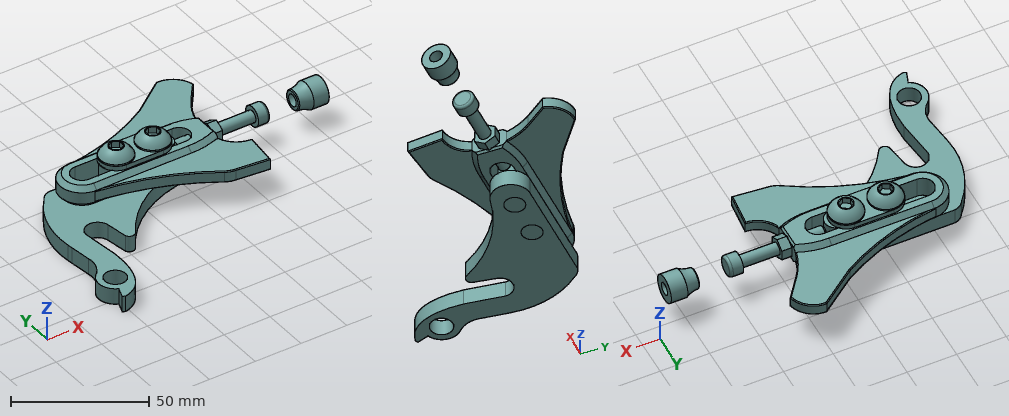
import cadquery as cq
import math


plate_thickness = 5.0
plate_edge_chamfer = 0.4
boss_thickness = 9.0
boss_radius = 9.5
boss_chamfer = (boss_thickness - plate_thickness) / 2
boss_straight_end = 41.4
boss_end = 54.7
boss_end_half_width = 6.8
boss_end_chamfer = 0.8
slot_radius = 4.6
slot_end = 47.0
boss_top = boss_thickness / 2
boss_bottom = -boss_top

hanger_thickness = 6.9
hanger_bottom = boss_bottom - hanger_thickness
hanger_tip_radius = 7.6
hanger_tip_x = 34.6
hanger_tip_angle = math.radians(14)
eye_x = -19.2
eye_y = -50.0
eye_radius = 7.2
eye_hole_diameter = 8.9
notch_x = -8.1
notch_y = -22.2
notch_radius = 5.0

bolt_spacing = 16.0
first_bolt_x = 14.9
bolt_positions = [first_bolt_x, first_bolt_x + bolt_spacing]
block_head_radius = 6.9
block_head_thickness = 2.0
block_top = boss_top + block_head_thickness
tongue_start = 8.2
tongue_end = 39.6
shank_diameter = 8.0
head_diameter = 13.7
head_rim = 0.7
head_height = 4.3
socket_width = 5.0
socket_depth = 2.6
head_flat_radius = 3.0

screw_diameter = 5.0
screw_tip_chamfer = 0.8
screw_head_diameter = 8.5
screw_head_start = 74.3
screw_head_end = 79.5
screw_head_fillet = 1.0
nut_width = 8.0
nut_thickness = 4.0

cap_start = 92.0
cap_end = 104.2
cap_nose_chamfer = 0.4
cap_flare_end = 97.5
cap_nose_diameter = 8.4
cap_diameter = 11.4
cap_bore_diameter = 5.0


def slab(outline, bottom, thickness):
    """Extrude a closed XY outline upwards from the height `bottom`."""
    return outline.extrude(thickness).translate((0, 0, bottom))


def stadium(start, end, radius, bottom, thickness):
    """A round-ended bar on the X axis whose extreme points are at `start` and `end`."""
    outline = cq.Workplane("XY").center((start + end) / 2, 0).slot2D(end - start, 2 * radius)
    return slab(outline, bottom, thickness)


def upright_cylinder(x, y, diameter, bottom, height):
    return cq.Workplane("XY", origin=(x, y, bottom)).circle(diameter / 2).extrude(height)


def axial_rod(start, end, diameter):
    """A cylinder lying along the X axis."""
    return cq.Workplane("YZ", origin=(start, 0, 0)).circle(diameter / 2).extrude(end - start)


def hexagonal_bar(start, end, width):
    """A hexagonal bar along the X axis, with corners at its top and bottom."""
    profile = cq.Workplane("YZ", origin=(start, 0, 0)).polygon(6, across_corners(width))
    return profile.extrude(end - start).rotate((0, 0, 0), (1, 0, 0), 90)


def across_corners(width):
    """The width across corners of a hexagon from its width across flats."""
    return width / math.cos(math.pi / 6)


def make_fork_plate():
    outline = (
        cq.Workplane("XY")
        .moveTo(-0.8, -boss_radius)
        .threePointArc((22.7, -14.9), (44.9, -25.7))
        .threePointArc((46.9, -26.6), (49.1, -27.0))
        .lineTo(63.2, -28.5)
        .lineTo(64.6, -14.2)
        .threePointArc((57.9, -11.6), (boss_end, -boss_end_half_width))
        .lineTo(boss_end, boss_end_half_width)
        .threePointArc((56.7, 12.3), (59.8, 17.5))
        .lineTo(66.2, 25.9)
        .threePointArc((62.7, 31.9), (55.6, 34.3))
        .lineTo(40.9, 23.4)
        .threePointArc((20.9, 14.2), (-0.8, boss_radius))
        .close()
    )
    plate = slab(outline, -plate_thickness / 2, plate_thickness)
    return plate.faces("|Z").edges().chamfer(plate_edge_chamfer)


def make_boss():
    outline = (
        cq.Workplane("XY")
        .moveTo(0, -boss_radius)
        .lineTo(boss_straight_end, -boss_radius)
        .threePointArc((48.3, -8.9), (boss_end, -boss_end_half_width))
        .lineTo(boss_end, boss_end_half_width)
        .threePointArc((48.3, 8.9), (boss_straight_end, boss_radius))
        .lineTo(0, boss_radius)
        .threePointArc((-boss_radius, 0), (0, -boss_radius))
        .close()
    )
    boss = slab(outline, boss_bottom, boss_thickness)
    boss = boss.faces("|Z").edges("not(>X)").chamfer(boss_chamfer)
    return boss.faces(">X").edges("|Y").chamfer(boss_end_chamfer)


def make_slider():
    slot = stadium(-slot_radius, slot_end, slot_radius, boss_bottom, boss_thickness)
    screw_hole = axial_rod(slot_end - slot_radius, boss_end, screw_diameter)
    return make_fork_plate().union(make_boss()).cut(slot).cut(screw_hole)


def make_hanger():
    tip_end = (
        hanger_tip_x + hanger_tip_radius * math.sin(hanger_tip_angle),
        -hanger_tip_radius * math.cos(hanger_tip_angle),
    )
    outline = (
        cq.Workplane("XY")
        .moveTo(hanger_tip_x, hanger_tip_radius)
        .threePointArc((hanger_tip_x + hanger_tip_radius, 0), tip_end)
        .threePointArc((18.2, -14.8), (2.4, -31.2))
        .threePointArc((0.4, -32.1), (-1.7, -30.5))
        .lineTo(notch_x + notch_radius, notch_y + 0.7)
        .threePointArc((notch_x, notch_y + notch_radius), (notch_x - notch_radius, notch_y))
        .lineTo(-11.1, -37.9)
        .spline([(-12.0, -50.1), (-15.4, -57.5), (-22.6, -61.8)], includeCurrent=True)
        .lineTo(-23.8, -61.2)
        .lineTo(-22.1, -56.5)
        .threePointArc((eye_x - eye_radius, eye_y), (-23.9, -44.5))
        .threePointArc((-21.0, -40.0), (-20.8, -35.1))
        .lineTo(-22.0, -26.1)
        .lineTo(-22.2, -23.8)
        .threePointArc((-20.1, -6.5), (-13.3, 4.8))
        .threePointArc((-11.6, 6.7), (-9.3, hanger_tip_radius))
        .close()
    )
    hanger = slab(outline, hanger_bottom, hanger_thickness)
    hanger = hanger.cut(upright_cylinder(eye_x, eye_y, eye_hole_diameter, hanger_bottom, hanger_thickness))
    for x in bolt_positions:
        hanger = hanger.cut(upright_cylinder(x, 0, shank_diameter, hanger_bottom, hanger_thickness))
    return hanger


def make_clamp_block():
    head = stadium(
        bolt_positions[0] - block_head_radius,
        bolt_positions[1] + block_head_radius,
        block_head_radius,
        boss_top,
        block_head_thickness,
    )
    tongue = stadium(tongue_start, tongue_end, slot_radius, boss_bottom, boss_thickness)
    block = head.union(tongue)
    for x in bolt_positions:
        block = block.cut(upright_cylinder(x, 0, shank_diameter, boss_bottom, block_top - boss_bottom))
    return block


def make_bolt(x):
    """A domed bolt: its shank ends flush with the hanger's underside."""
    rim_radius = head_diameter / 2
    dome_height = head_height - head_rim
    centre_drop = (rim_radius**2 - head_flat_radius**2 - dome_height**2) / (2 * dome_height)
    dome_radius = math.hypot(rim_radius, centre_drop)
    mid_radius = (rim_radius + head_flat_radius) / 2
    mid_height = head_rim - centre_drop + math.sqrt(dome_radius**2 - mid_radius**2)
    shank_length = block_top - hanger_bottom
    bolt = (
        cq.Workplane("XZ")
        .moveTo(0, -shank_length)
        .lineTo(shank_diameter / 2, -shank_length)
        .lineTo(shank_diameter / 2, 0)
        .lineTo(rim_radius, 0)
        .lineTo(rim_radius, head_rim)
        .threePointArc((mid_radius, mid_height), (head_flat_radius, head_height))
        .lineTo(0, head_height)
        .close()
        .revolve(360, (0, 0), (0, 1))
    )
    socket = cq.Workplane("XY", origin=(0, 0, head_height)).polygon(6, across_corners(socket_width))
    socket = socket.extrude(-socket_depth).rotate((0, 0, 0), (0, 0, 1), 90)
    return bolt.cut(socket).translate((x, 0, block_top))


def make_screw():
    shank = axial_rod(tongue_end, screw_head_start, screw_diameter).faces("<X").chamfer(screw_tip_chamfer)
    head = axial_rod(screw_head_start, screw_head_end, screw_head_diameter)
    return shank.union(head.faces(">X").edges().fillet(screw_head_fillet))


def make_nut():
    nut_end = boss_end + nut_thickness
    return hexagonal_bar(boss_end, nut_end, nut_width).cut(axial_rod(boss_end, nut_end, screw_diameter))


def make_cap():
    """A turned cap whose nose flares along an arc, with a bore right through it."""
    nose_radius = cap_nose_diameter / 2
    cap_radius = cap_diameter / 2
    flare_start = cap_start + cap_nose_chamfer
    flare_middle = (
        (flare_start + cap_flare_end) / 2,
        nose_radius + (cap_radius - nose_radius) / 4,
    )
    cap = (
        cq.Workplane("XY")
        .moveTo(cap_start, 0)
        .lineTo(cap_start, nose_radius - cap_nose_chamfer)
        .lineTo(flare_start, nose_radius)
        .threePointArc(flare_middle, (cap_flare_end, cap_radius))
        .lineTo(cap_end, cap_radius)
        .lineTo(cap_end, 0)
        .close()
        .revolve(360, (0, 0), (1, 0))
    )
    return cap.cut(axial_rod(cap_start, cap_end, cap_bore_diameter))


slider = make_slider()
hanger = make_hanger()
clamp_block = make_clamp_block()
bolts = [make_bolt(x) for x in bolt_positions]
screw = make_screw()
nut = make_nut()
cap = make_cap()

result = cq.Compound.makeCompound(
    [
        slider.val(),
        hanger.val(),
        clamp_block.val(),
        *[bolt.val() for bolt in bolts],
        screw.val(),
        nut.val(),
        cap.val(),
    ]
)